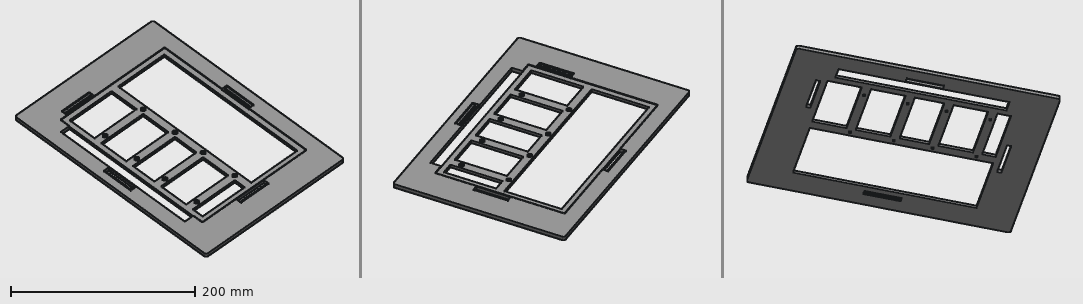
import cadquery as cq

PLATE_LENGTH = 297.0
PLATE_WIDTH = 210.0
PLATE_THICKNESS = 5.0
CORNER_RADIUS = 3.0

RECESS_LENGTH = 220.0
RECESS_TOP_Y = 85.2
RECESS_BOTTOM_Y = -73.0
RECESS_DEPTH = 1.2

SIDE_RAIL_WIDTH = 6.8
END_RAIL_WIDTH = 7.0
CROSS_RAIL_TOP_Y = 8.0
CROSS_RAIL_BOTTOM_Y = -2.0

BAR_WIDTH = 10.5
FIRST_BAR_X = -59.5
OUTER_BAR_PITCH = 49.3
INNER_BAR_PITCH = 43.7

UPPER_SCREW_Y = 3.0
SCREW_SPACING = 58.0
SCREW_HOLE_DIAMETER = 2.5
COUNTERBORE_DIAMETER = 5.5
COUNTERBORE_DEPTH = 1.8

OPENING_LENGTH = 192.5
OPENING_BOTTOM_Y = -86.0

CLIP_LENGTH = 42.0
CLIP_WIDTH = 7.7
LEDGE_WIDTH = 3.0
LEDGE_DEPTH = 2.0
LEFT_CLIP_Y = -42.5
RIGHT_CLIP_Y = -1.2
SIDE_CLIP_WALL = 0.5
BOTTOM_CLIP_WALL = 1.2
TOP_CLIP_OVERLAP = 0.3

RECESS_FLOOR_Z = PLATE_THICKNESS - RECESS_DEPTH
RECESS_EDGE_X = RECESS_LENGTH / 2


def block(x_min, x_max, y_min, y_max, z_min=0.0):
    """Cutting block from z_min up to the top face of the plate."""
    size = (x_max - x_min, y_max - y_min, PLATE_THICKNESS - z_min)
    return cq.Workplane("XY").box(*size, centered=False).translate((x_min, y_min, z_min))


def base_plate():
    """Flat plate with rounded corners."""
    plate = cq.Workplane("XY").box(
        PLATE_LENGTH, PLATE_WIDTH, PLATE_THICKNESS, centered=(True, True, False)
    )
    return plate.edges("|Z").fillet(CORNER_RADIUS)


def bar_positions():
    """X of the bar centres, from left to right."""
    centres = [FIRST_BAR_X]
    for pitch in (OUTER_BAR_PITCH, INNER_BAR_PITCH, OUTER_BAR_PITCH):
        centres.append(centres[-1] + pitch)
    return centres


def windows(bar_centres):
    """The wide upper window and the row of lower windows between the bars."""
    edge_x = RECESS_EDGE_X - SIDE_RAIL_WIDTH
    top_y = RECESS_TOP_Y - END_RAIL_WIDTH
    bottom_y = RECESS_BOTTOM_Y + END_RAIL_WIDTH
    cutter = block(-edge_x, edge_x, CROSS_RAIL_TOP_Y, top_y)
    starts = [-edge_x] + [x + BAR_WIDTH / 2 for x in bar_centres]
    ends = [x - BAR_WIDTH / 2 for x in bar_centres] + [edge_x]
    for start, end in zip(starts, ends):
        cutter = cutter.union(block(start, end, bottom_y, CROSS_RAIL_BOTTOM_Y))
    return cutter


def screw_holes(bar_centres):
    """Through holes with counterbores sunk into the recess floor."""
    rows = (UPPER_SCREW_Y, UPPER_SCREW_Y - SCREW_SPACING)
    points = [(x, y) for x in bar_centres for y in rows]
    holes = cq.Workplane("XY").pushPoints(points).circle(SCREW_HOLE_DIAMETER / 2).extrude(RECESS_FLOOR_Z)
    counterbores = (
        cq.Workplane("XY")
        .workplane(offset=RECESS_FLOOR_Z - COUNTERBORE_DEPTH)
        .pushPoints(points)
        .circle(COUNTERBORE_DIAMETER / 2)
        .extrude(COUNTERBORE_DEPTH)
    )
    return holes.union(counterbores)


def clip_slot(x, y, outward_angle):
    """Clip slot whose inner side is centred on (x, y); it widens along the outward angle."""
    half_length = CLIP_LENGTH / 2
    through = block(0, CLIP_WIDTH - LEDGE_WIDTH, -half_length, half_length)
    ledge = block(0, CLIP_WIDTH, -half_length, half_length, PLATE_THICKNESS - LEDGE_DEPTH)
    slot = through.union(ledge)
    return slot.rotate((0, 0, 0), (0, 0, 1), outward_angle).translate((x, y, 0))


bars = bar_positions()
recess = block(-RECESS_EDGE_X, RECESS_EDGE_X, RECESS_BOTTOM_Y, RECESS_TOP_Y, RECESS_FLOOR_Z)
opening = block(-OPENING_LENGTH / 2, OPENING_LENGTH / 2, OPENING_BOTTOM_Y, RECESS_BOTTOM_Y)
side_clip_x = RECESS_EDGE_X + SIDE_CLIP_WALL

result = (
    base_plate()
    .cut(recess)
    .cut(windows(bars))
    .cut(screw_holes(bars))
    .cut(opening)
    .cut(clip_slot(side_clip_x, RIGHT_CLIP_Y, 0))
    .cut(clip_slot(0, RECESS_TOP_Y - TOP_CLIP_OVERLAP, 90))
    .cut(clip_slot(-side_clip_x, LEFT_CLIP_Y, 180))
    .cut(clip_slot(0, OPENING_BOTTOM_Y - BOTTOM_CLIP_WALL, 270))
)